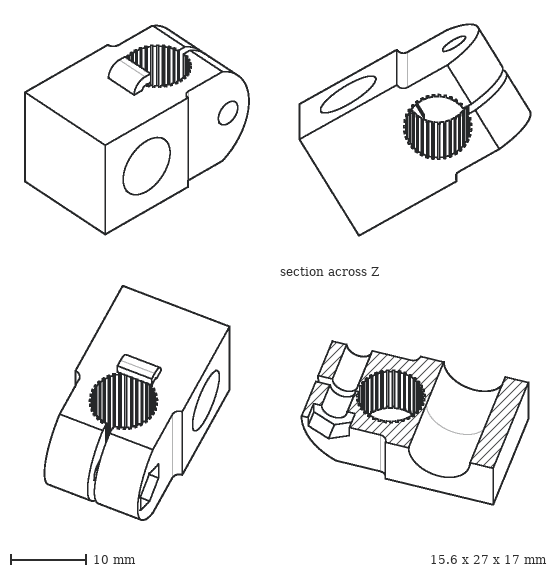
import cadquery as cq
import math

total_length = 27.0
block_width = 15.6
block_length = 15.0
height = 15.0
shoulder_step = 1.0
neck_width = block_width - 2 * shoulder_step
nose_bulge = 4.83
mid_height = height / 2

cross_bore_diameter = 8.5
cross_bore_y = block_length / 2

clamp_bore_diameter = 8.5
clamp_bore_radius = clamp_bore_diameter / 2
clamp_bore_y = 16.69
groove_count = 35
groove_depth = 0.256
groove_width = 0.27
slit_width = 1.0

screw_hole_diameter = 3.5
screw_y = 23.2
nut_across_flats = 5.7
nut_pocket_depth = 2.5

hook_width = 5.0
hook_outer_radius = 2.0
hook_thickness = 1.48
hook_inner_radius = hook_outer_radius - hook_thickness
hook_tip_length = 1.0
hook_bend_y = 12.18


def make_body():
    """Plan outline with quarter-round shoulders, trimmed by the rounded-nose side outline."""
    half_block = block_width / 2
    half_neck = neck_width / 2
    fillet_end = block_length + shoulder_step
    arc_inset = shoulder_step * (1 - math.sqrt(0.5))
    plan = (
        cq.Workplane("XY")
        .moveTo(-half_block, 0)
        .lineTo(half_block, 0)
        .lineTo(half_block, block_length)
        .threePointArc((half_neck + arc_inset, block_length + arc_inset), (half_neck, fillet_end))
        .lineTo(half_neck, total_length)
        .lineTo(-half_neck, total_length)
        .lineTo(-half_neck, fillet_end)
        .threePointArc((-half_neck - arc_inset, block_length + arc_inset), (-half_block, block_length))
        .close()
        .extrude(height)
    )
    nose_start = total_length - nose_bulge
    side = (
        cq.Workplane("YZ")
        .moveTo(0, 0)
        .lineTo(nose_start, 0)
        .threePointArc((total_length, mid_height), (nose_start, height))
        .lineTo(0, height)
        .close()
        .extrude(half_block, both=True)
    )
    return plan.intersect(side)


def make_cross_hole(y, diameter):
    """Round cutter along X through the full width at mid height."""
    return (
        cq.Workplane("YZ", origin=(0, y, mid_height))
        .circle(diameter / 2)
        .extrude(block_width / 2, both=True)
    )


def make_clamp_bore():
    """Vertical bore with evenly spaced grooves, one of them pointing to -Y."""
    bore = cq.Workplane("XY").circle(clamp_bore_radius).extrude(height)
    groove = (
        cq.Workplane("XY")
        .center(0, -clamp_bore_radius)
        .rect(groove_width, 2 * groove_depth)
        .extrude(height)
    )
    for i in range(groove_count):
        bore = bore.union(groove.rotate((0, 0, 0), (0, 0, 1), i * 360 / groove_count))
    return bore.translate((0, clamp_bore_y, 0))


def make_slit():
    """Slit from the clamp bore out through the nose."""
    return (
        cq.Workplane("XY", origin=(0, clamp_bore_y, 0))
        .box(slit_width, total_length - clamp_bore_y, height, centered=(True, False, False))
    )


def make_nut_pocket():
    """Hexagonal pocket with two flats facing along Y."""
    across_corners = nut_across_flats / math.cos(math.pi / 6)
    return (
        cq.Workplane("YZ", origin=(-neck_width / 2, screw_y, mid_height))
        .transformed(rotate=(0, 0, 90))
        .polygon(6, across_corners)
        .extrude(nut_pocket_depth)
    )


def make_hook():
    """Quarter-round hook with a short straight tip."""
    diagonal = math.sqrt(0.5)
    inner = hook_inner_radius
    outer = hook_outer_radius
    return (
        cq.Workplane("YZ", origin=(0, hook_bend_y, height))
        .moveTo(-outer, 0)
        .threePointArc((-outer * diagonal, outer * diagonal), (0, outer))
        .lineTo(hook_tip_length, outer)
        .lineTo(hook_tip_length, inner)
        .lineTo(0, inner)
        .threePointArc((-inner * diagonal, inner * diagonal), (-inner, 0))
        .close()
        .extrude(hook_width / 2, both=True)
    )


result = (
    make_body()
    .cut(make_cross_hole(cross_bore_y, cross_bore_diameter))
    .cut(make_cross_hole(screw_y, screw_hole_diameter))
    .cut(make_nut_pocket())
    .cut(make_clamp_bore())
    .cut(make_slit())
    .union(make_hook())
)